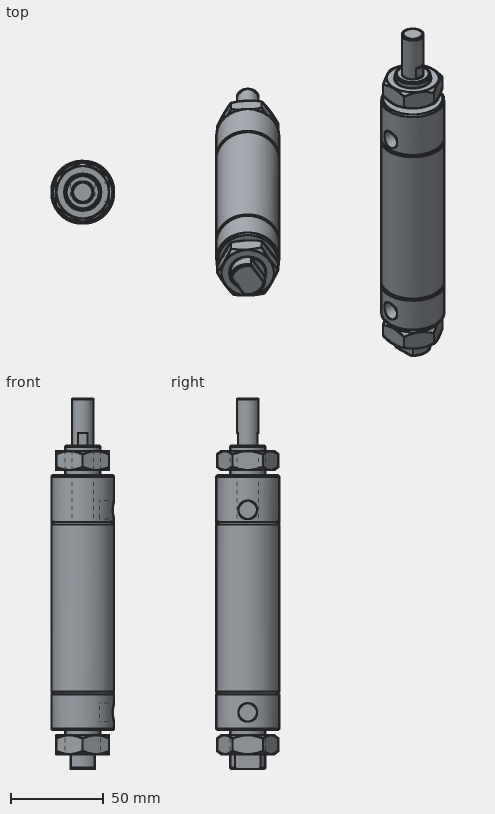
import cadquery as cq
import math

TOTAL_HEIGHT = 200.2

BODY_DIAMETER = 34.0
BODY_BOTTOM = 21.0
BODY_TOP = 158.7
BODY_CHAMFER = 1.0
GROOVE_WIDTH = 1.5
GROOVE_DEPTH = GROOVE_WIDTH
REAR_GROOVE_STEP = 40.5
FRONT_GROOVE_STEP = 133.5

SPIGOT_DIAMETER = 19.0
SPIGOT_TOP = 174.7
SPIGOT_CHAMFER = 0.8
TANG_THICKNESS = 13.0
TANG_HEIGHT = 8.0

PORT_DIAMETER = 10.0
PORT_DEPTH = 8.0
REAR_PORT_HEIGHT = 30.6
FRONT_PORT_HEIGHT = 140.0

ROD_DIAMETER = 11.8
ROD_CHAMFER = 0.7
ROD_FLAT_SPACING = 10.6
ROD_FLAT_TOP = 181.3

NUT_ACROSS_FLATS = 28.6
NUT_THICKNESS = 10.5
NUT_FACE_DIAMETER = 28.2
NUT_BEVEL_HEIGHT = 1.8
NUT_COUNTERSINK = 0.5
REAR_NUT_BOTTOM = TANG_HEIGHT
FRONT_NUT_BOTTOM = 161.3

ROD_SEAT = FRONT_GROOVE_STEP


def cylinder(diameter, bottom, top):
    """Upright cylinder on the Z axis between two heights."""
    return cq.Workplane("XY").workplane(offset=bottom).circle(diameter / 2).extrude(top - bottom)


def make_groove(step_height, taper):
    """Ring cut with a flat step at one end, rising conically to the housing surface.

    A positive taper puts the cone above the step, a negative one below it.
    """
    surface_radius = BODY_DIAMETER / 2
    return (
        cq.Workplane("XZ")
        .moveTo(surface_radius - GROOVE_DEPTH, step_height)
        .lineTo(surface_radius, step_height)
        .lineTo(surface_radius, step_height + taper)
        .close()
        .revolve(360, (0, 0, 0), (0, 1, 0))
    )


def make_port(height):
    """Radial blind hole to be cut from the +X side of the housing."""
    floor = BODY_DIAMETER / 2 - PORT_DEPTH
    return (
        cq.Workplane("YZ")
        .workplane(offset=floor)
        .center(0, height)
        .circle(PORT_DIAMETER / 2)
        .extrude(PORT_DEPTH)
    )


def make_housing():
    body = cylinder(BODY_DIAMETER, BODY_BOTTOM, BODY_TOP).edges().chamfer(BODY_CHAMFER)
    spigots = cylinder(SPIGOT_DIAMETER, 0, SPIGOT_TOP).edges().chamfer(SPIGOT_CHAMFER)

    tang_space = cq.Workplane("XY").rect(SPIGOT_DIAMETER, SPIGOT_DIAMETER).extrude(TANG_HEIGHT)
    tang = cq.Workplane("XY").rect(TANG_THICKNESS, SPIGOT_DIAMETER).extrude(TANG_HEIGHT)
    housing = body.union(spigots).cut(tang_space.cut(tang))

    housing = housing.cut(make_groove(REAR_GROOVE_STEP, GROOVE_WIDTH))
    housing = housing.cut(make_groove(FRONT_GROOVE_STEP, -GROOVE_WIDTH))
    for port_height in (REAR_PORT_HEIGHT, FRONT_PORT_HEIGHT):
        housing = housing.cut(make_port(port_height))
    return housing.cut(cylinder(ROD_DIAMETER, ROD_SEAT, SPIGOT_TOP))


def make_rod():
    rod = cylinder(ROD_DIAMETER, ROD_SEAT, TOTAL_HEIGHT).faces(">Z").edges().chamfer(ROD_CHAMFER)

    flat_height = ROD_FLAT_TOP - SPIGOT_TOP
    flats_base = cq.Workplane("XY").workplane(offset=SPIGOT_TOP)
    flats_space = flats_base.rect(ROD_DIAMETER, ROD_DIAMETER).extrude(flat_height)
    flats_core = flats_base.rect(ROD_DIAMETER, ROD_FLAT_SPACING).extrude(flat_height)
    return rod.cut(flats_space.cut(flats_core))


def make_nut(bottom):
    """Hexagonal nut with corners on the Y axis, its corners beveled on both faces."""
    corner_radius = NUT_ACROSS_FLATS / math.sqrt(3)
    face_radius = NUT_FACE_DIAMETER / 2
    top = bottom + NUT_THICKNESS

    hexagon = (
        cq.Workplane("XY")
        .workplane(offset=bottom)
        .polygon(6, 2 * corner_radius)
        .extrude(NUT_THICKNESS)
        .rotate((0, 0, 0), (0, 0, 1), 90)
    )
    bevel_envelope = (
        cq.Workplane("XZ")
        .moveTo(0, bottom)
        .lineTo(face_radius, bottom)
        .lineTo(corner_radius, bottom + NUT_BEVEL_HEIGHT)
        .lineTo(corner_radius, top - NUT_BEVEL_HEIGHT)
        .lineTo(face_radius, top)
        .lineTo(0, top)
        .close()
        .revolve(360, (0, 0, 0), (0, 1, 0))
    )
    nut = hexagon.intersect(bevel_envelope).cut(cylinder(SPIGOT_DIAMETER, bottom, top))
    bore_rims = nut.edges(cq.selectors.RadiusNthSelector(0))
    return bore_rims.chamfer(NUT_COUNTERSINK)


housing = make_housing()
rod = make_rod()
nuts = [make_nut(bottom).val() for bottom in (REAR_NUT_BOTTOM, FRONT_NUT_BOTTOM)]

result = cq.Compound.makeCompound([housing.val(), rod.val(), *nuts])